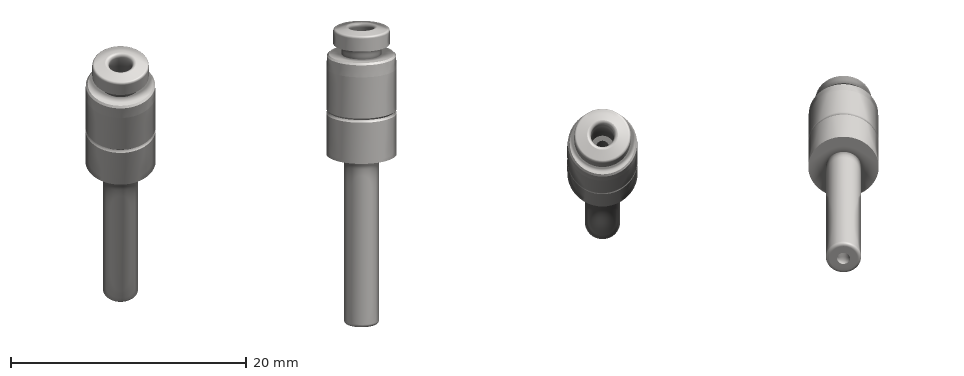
import cadquery as cq
import math

total_length = 26.3

stem_radius = 3.0 / 2
tip_fillet = 0.3

body_radius = 6.0 / 2
body_bottom = 15.02
body_top = 23.9
collar_bottom = 22.7
collar_taper = 0.05
collar_chamfer = 0.15
collar_top_radius = body_radius - collar_taper
groove_center = 18.85
groove_depth = 0.18

neck_radius = 3.4 / 2
neck_fillet = 0.3
button_radius = 4.8 / 2
button_bottom = 24.8
button_edge_round = 0.2
crown_angle = math.radians(9)

bore_radius = 2.0 / 2
bore_lead_in = 0.32
bore_depth = 3.6
bore_floor = total_length - bore_depth
passage_radius = 1.1 / 2

neck_fillet_radius = neck_radius + neck_fillet
neck_fillet_z = button_bottom - neck_fillet

diagonal = math.sqrt(0.5)

crown_inner_radius = bore_radius + bore_lead_in
edge_center_radius = button_radius - button_edge_round
crown_width = edge_center_radius - crown_inner_radius
crown_drop = crown_width * math.tan(crown_angle) + button_edge_round / math.cos(crown_angle)
edge_center_z = total_length - crown_drop


def button_edge_point(angle):
    """Point on the button edge round, with the angle measured from vertical."""
    return (
        edge_center_radius + button_edge_round * math.sin(angle),
        edge_center_z + button_edge_round * math.cos(angle),
    )


def stem_and_body(profile):
    """Trace the outer outline from the stem tip up to the body top."""
    return (
        profile
        .lineTo(stem_radius - tip_fillet, 0)
        .threePointArc(
            (stem_radius - tip_fillet * (1 - diagonal), tip_fillet * (1 - diagonal)),
            (stem_radius, tip_fillet),
        )
        .lineTo(stem_radius, body_bottom)
        .lineTo(body_radius, body_bottom)
        .lineTo(body_radius, groove_center - groove_depth)
        .lineTo(body_radius - groove_depth, groove_center)
        .lineTo(body_radius, groove_center + groove_depth)
        .lineTo(body_radius, collar_bottom)
        .lineTo(collar_top_radius, body_top - collar_chamfer)
        .lineTo(collar_top_radius - collar_chamfer, body_top)
    )


def neck_and_button(profile):
    """Trace the neck, its fillet, and the crowned button."""
    mid_angle = (crown_angle + math.pi / 2) / 2
    return (
        profile
        .lineTo(neck_radius, body_top)
        .lineTo(neck_radius, neck_fillet_z)
        .threePointArc(
            (neck_fillet_radius - neck_fillet * diagonal, neck_fillet_z + neck_fillet * diagonal),
            (neck_fillet_radius, button_bottom),
        )
        .lineTo(button_radius, button_bottom)
        .lineTo(button_radius, edge_center_z)
        .threePointArc(button_edge_point(mid_angle), button_edge_point(crown_angle))
        .lineTo(crown_inner_radius, total_length)
    )


def stepped_bore(profile):
    """Trace the rounded lead-in, the bore and its floor down to the passage."""
    round_z = total_length - bore_lead_in
    return (
        profile
        .threePointArc(
            (crown_inner_radius - bore_lead_in * diagonal, round_z + bore_lead_in * diagonal),
            (bore_radius, round_z),
        )
        .lineTo(bore_radius, bore_floor)
        .lineTo(passage_radius, bore_floor)
    )


section = cq.Workplane("XZ").moveTo(passage_radius, 0)
section = stem_and_body(section)
section = neck_and_button(section)
section = stepped_bore(section).close()

result = section.revolve(360, (0, 0, 0), (0, 1, 0))